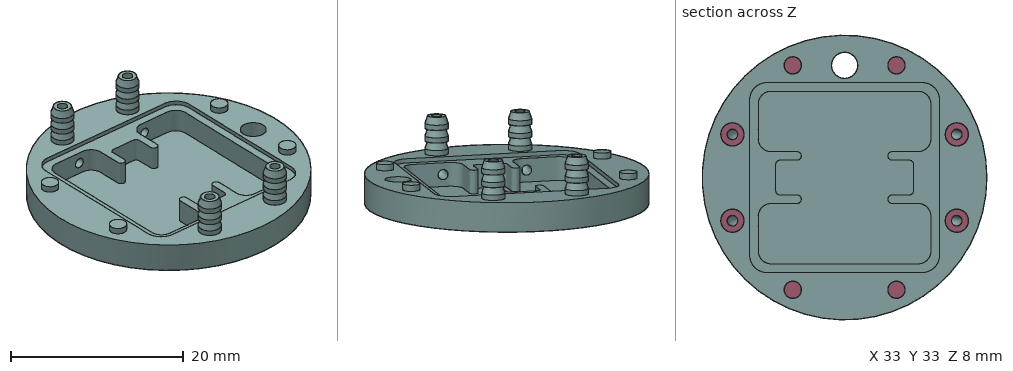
import cadquery as cq

disc_diameter = 33.0
disc_thickness = 3.5

recess_width = 22.0
recess_depth = 0.5
recess_corner_radius = 2.0
pocket_width = 20.0
pocket_floor_thickness = 0.2
pocket_corner_radius = 1.5

finger_width = 1.0
finger_outer_y = 3.0
finger_tip_x = 5.0
bay_wall_x = 8.0
bay_corner_radius = 0.5

rim_feature_offset = 13.0
rim_hole_diameter = 3.0
pin_diameter = 2.0
pin_height = 0.73
pin_spacing = 12.0

barb_spacing = 10.0
barb_diameter = 2.7
barb_neck_diameter = 2.1
barb_count = 3
overall_height = 8.0
barb_height = overall_height - disc_thickness
barb_pitch = barb_height / barb_count
barb_land_height = 0.63
bore_diameter = 1.2
channel_bend_radius = 2.0

pocket_wall_x = pocket_width / 2
recess_floor_z = disc_thickness - recess_depth
pocket_depth = recess_floor_z - pocket_floor_thickness
channel_center_z = pocket_floor_thickness + pocket_depth / 2


def mirrored_points(x, y):
    """Four points placed symmetrically about both axes."""
    return [(sx * x, sy * y) for sx in (-1, 1) for sy in (-1, 1)]


def make_disc():
    hole_center = (0, rim_feature_offset)
    disc = cq.Workplane("XY").circle(disc_diameter / 2).extrude(disc_thickness)
    hole = cq.Workplane("XY").center(*hole_center).circle(rim_hole_diameter / 2).extrude(disc_thickness)
    return disc.cut(hole)


def make_recess():
    recess = cq.Workplane("XY").workplane(offset=recess_floor_z)
    recess = recess.rect(recess_width, recess_width).extrude(recess_depth)
    return recess.edges("|Z").fillet(recess_corner_radius)


def make_pocket():
    """Two wide lobes joined by a narrower middle, with the four fingers left standing."""
    floor = cq.Workplane("XY").workplane(offset=pocket_floor_thickness)

    lobe_length = pocket_wall_x - finger_outer_y
    lobe_center_y = finger_outer_y + lobe_length / 2
    lobes = floor.pushPoints([(0, -lobe_center_y), (0, lobe_center_y)])
    lobes = lobes.rect(pocket_width, lobe_length).extrude(pocket_depth)
    lobes = lobes.edges("|Z").fillet(pocket_corner_radius)

    bay_length = 2 * (finger_outer_y - finger_width)
    bay = floor.rect(2 * bay_wall_x, bay_length).extrude(pocket_depth)
    bay = bay.edges("|Z").fillet(bay_corner_radius)

    tip_radius = finger_width / 2
    finger_length = bay_wall_x - finger_tip_x
    finger_x = finger_tip_x + finger_length / 2
    finger_y = finger_outer_y - tip_radius
    fingers = floor.pushPoints(mirrored_points(finger_x, finger_y))
    fingers = fingers.slot2D(finger_length, finger_width).extrude(pocket_depth)

    middle_width = 2 * (finger_tip_x + tip_radius)
    middle = floor.rect(middle_width, 2 * finger_outer_y).extrude(pocket_depth)
    return middle.cut(fingers).union(lobes).union(bay)


def make_pins():
    pins = cq.Workplane("XY").workplane(offset=disc_thickness)
    pins = pins.pushPoints(mirrored_points(pin_spacing / 2, rim_feature_offset))
    return pins.circle(pin_diameter / 2).extrude(pin_height)


def make_barb():
    """Stack of identical rings, each a straight land below a cone, standing on Z = 0."""
    land_radius = barb_diameter / 2
    neck_radius = barb_neck_diameter / 2
    profile = cq.Workplane("XZ")
    profile = profile.moveTo(0, 0)
    for ring in range(barb_count):
        base = ring * barb_pitch
        profile = profile.lineTo(land_radius, base)
        profile = profile.lineTo(land_radius, base + barb_land_height)
        profile = profile.lineTo(neck_radius, base + barb_pitch)
    profile = profile.lineTo(0, barb_height).close()
    return profile.revolve(360, (0, 0, 0), (0, 1, 0))


def make_channel(side, y):
    """Bore that runs down through a barb and bends level into the pocket."""
    barb_x = side * rim_feature_offset
    bend_x = side * (rim_feature_offset - channel_bend_radius)
    bend_z = channel_center_z + channel_bend_radius
    mouth_x = side * pocket_wall_x

    path = cq.Workplane("XZ", origin=(0, y, 0)).moveTo(barb_x, overall_height)
    path = path.lineTo(barb_x, bend_z)
    path = path.tangentArcPoint((bend_x, channel_center_z), relative=False)
    path = path.lineTo(mouth_x, channel_center_z)
    section = cq.Workplane("XY", origin=(barb_x, y, overall_height)).circle(bore_diameter / 2)
    return section.sweep(path)


result = make_disc().cut(make_recess()).cut(make_pocket()).union(make_pins())
barb = make_barb()
for side in (-1, 1):
    for y in (-barb_spacing / 2, barb_spacing / 2):
        result = result.union(barb.translate((side * rim_feature_offset, y, disc_thickness)))
        result = result.cut(make_channel(side, y))